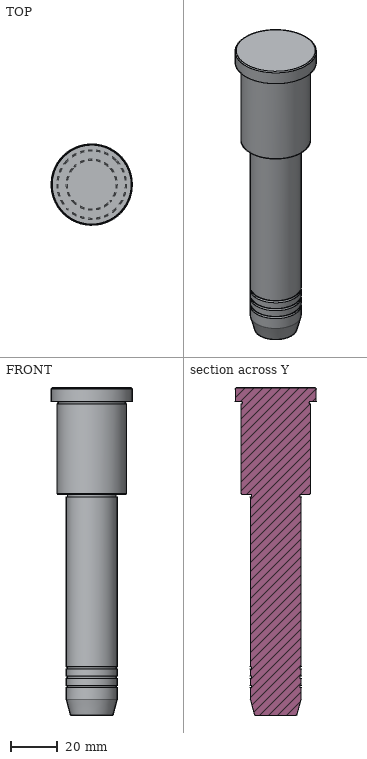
import cadquery as cq
import math

total_length = 141.0

head_radius = 17.5
head_height = 6.0
head_chamfer = 0.5

collar_radius = 15.0
collar_length = 40.0
collar_chamfer = 0.5

shank_radius = 11.0
tip_length = 7.0
tip_half_angle = 15.0
tip_fillet = 0.5

relief_width = 1.0
relief_depth = 0.5

groove_radius = 0.5
ring_count = 3
ring_pitch = 4.0
lowest_ring_height = 12.5

head_bottom = total_length - head_height
collar_bottom = head_bottom - collar_length
relief_bottom = collar_bottom - relief_width
relief_radius = shank_radius - relief_depth
tip_radius = shank_radius - tip_length * math.tan(math.radians(tip_half_angle))


def half_round_groove(profile, surface_radius, middle):
    """Continue the profile up across a half-round groove, as two quarter arcs that meet at its floor."""
    diagonal = groove_radius * math.sqrt(0.5)
    floor_radius = surface_radius - groove_radius
    profile = profile.lineTo(surface_radius, middle - groove_radius)
    profile = profile.threePointArc((surface_radius - diagonal, middle - diagonal), (floor_radius, middle))
    return profile.threePointArc(
        (surface_radius - diagonal, middle + diagonal),
        (surface_radius, middle + groove_radius),
    )


def draw_tip(profile):
    """Flat tip face, its rounded edge and the cone that widens up to the shank."""
    edge_turn = math.radians(90 - tip_half_angle)
    center_radius = tip_radius - tip_fillet * math.tan(edge_turn / 2)

    def edge_point(angle):
        return (
            center_radius + tip_fillet * math.sin(angle),
            tip_fillet - tip_fillet * math.cos(angle),
        )

    return (
        profile.lineTo(center_radius, 0)
        .threePointArc(edge_point(edge_turn / 2), edge_point(edge_turn))
        .lineTo(shank_radius, tip_length)
    )


def draw_shank(profile):
    """Shank with its ring grooves, ending in the relief groove under the collar."""
    for index in range(ring_count):
        profile = half_round_groove(profile, shank_radius, lowest_ring_height + index * ring_pitch)
    return (
        profile.lineTo(shank_radius, relief_bottom)
        .lineTo(relief_radius, relief_bottom)
        .lineTo(relief_radius, collar_bottom)
    )


def draw_collar(profile):
    """Collar with a chamfered lower edge and a half-round groove against the head."""
    profile = profile.lineTo(collar_radius - collar_chamfer, collar_bottom)
    profile = profile.lineTo(collar_radius, collar_bottom + collar_chamfer)
    return half_round_groove(profile, collar_radius, head_bottom - groove_radius)


def draw_head(profile):
    """Flat head with a chamfered top edge."""
    return (
        profile.lineTo(head_radius, head_bottom)
        .lineTo(head_radius, total_length - head_chamfer)
        .lineTo(head_radius - head_chamfer, total_length)
        .lineTo(0, total_length)
    )


half_section = cq.Workplane("XZ").moveTo(0, 0)
half_section = draw_tip(half_section)
half_section = draw_shank(half_section)
half_section = draw_collar(half_section)
half_section = draw_head(half_section)

result = half_section.close().revolve(360, (0, 0, 0), (0, 1, 0), clean=False)